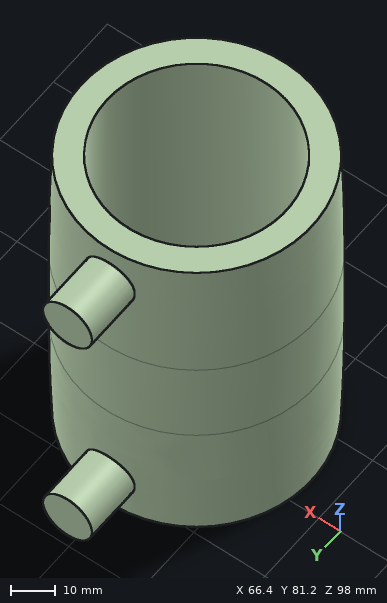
import cadquery as cq

length = 98.0
band_diameter = 66.4
end_diameter = 64.9
bore_diameter = 50.5
band_length = 25.1

pin_diameter = 13.8
pin_reach = 48.0
pin_end_distance = 12.0

half_length = length / 2
half_band = band_length / 2
band_radius = band_diameter / 2
end_radius = end_diameter / 2
bore_radius = bore_diameter / 2


def make_sleeve():
    """Revolve the wall section, whose end arcs are tangent to the middle band."""
    arc_height = half_length - half_band
    arc_drop = band_radius - end_radius
    arc_radius = (arc_height**2 + arc_drop**2) / (2 * arc_drop)
    section = (
        cq.Workplane("XZ")
        .moveTo(bore_radius, -half_length)
        .lineTo(end_radius, -half_length)
        .radiusArc((band_radius, -half_band), -arc_radius)
        .lineTo(band_radius, half_band)
        .radiusArc((end_radius, half_length), -arc_radius)
        .lineTo(bore_radius, half_length)
        .close()
    )
    return section.revolve(360, (0, 0, 0), (0, 1, 0))


def make_pin(height):
    """Solid pin that starts inside the sleeve wall and ends at the tip."""
    wall_middle = (bore_radius + end_radius) / 2
    return (
        cq.Workplane("XZ", origin=(0, wall_middle, height))
        .circle(pin_diameter / 2)
        .extrude(wall_middle - pin_reach)
    )


result = make_sleeve()
pin_height = half_length - pin_end_distance
for side in (-1, 1):
    result = result.union(make_pin(side * pin_height))